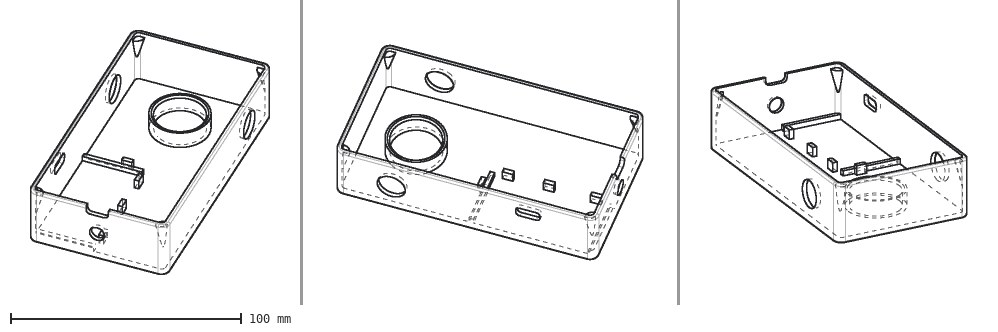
import cadquery as cq

WIDTH = 65.0
LENGTH = 120.0
HEIGHT = 28.0
WALL = 2.0
CORNER_RADIUS = 4.0
EDGE_RADIUS = 1.0
INNER_LEFT = -WIDTH / 2 + WALL
INNER_FRONT = -LENGTH / 2 + WALL
MID_HEIGHT = HEIGHT / 2
OVERLAP = 0.6

RING_Y = 34.0
RING_DIAMETER = 27.0
RING_BORE_DIAMETER = 23.0
RING_TOP = 10.1
RING_BEVEL = 1.0

SIDE_HOLE_DIAMETER = 12.8
FRONT_HOLE_DIAMETER = 7.0
SLOT_LENGTH = 11.0
SLOT_HEIGHT = 5.0
SLOT_RADIUS = 1.8
SLOT_Y = -28.8
SLOT_Z = 20.0
NOTCH_WIDTH = 10.3
NOTCH_DEPTH = 3.8
NOTCH_RADIUS = 2.0

LUG_RADIUS = 4.0
LUG_HEIGHT = 14.4
LUG_TOP = HEIGHT - WALL

RIB_THICKNESS = 2.0
RIB_END_X = -2.5
REAR_RIB_FRONT_Y = -3.0
FRONT_RIB_BACK_Y = -55.9
RIB_HEIGHT = 2.4
PEG_HEIGHT = 4.5
TAB_X = -10.5
PEG_LENGTH = 4.8
PEG_X = -1.5
PEG_CENTERS_Y = (-9.0, -27.8, -49.5)


def box_between(x0, x1, y0, y1, z0, z1):
    """Box given by its limits along each axis."""
    return cq.Workplane("XY").box(x1 - x0, y1 - y0, z1 - z0, centered=False).translate((x0, y0, z0))


def make_tray():
    outer = cq.Workplane("XY").box(WIDTH, LENGTH, HEIGHT, centered=(True, True, False))
    outer = outer.edges("|Z").fillet(CORNER_RADIUS)
    outer = outer.faces("<Z or >Z").edges().fillet(EDGE_RADIUS)
    cavity = (
        cq.Workplane("XY", origin=(0, 0, WALL))
        .rect(WIDTH - 2 * WALL, LENGTH - 2 * WALL)
        .extrude(HEIGHT)
        .edges("|Z")
        .fillet(CORNER_RADIUS - WALL)
    )
    return outer.cut(cavity)


def make_ring():
    """Ring with a straight bore and a bevel around the inside of its mouth."""
    profile = [
        (RING_BORE_DIAMETER / 2, WALL - OVERLAP),
        (RING_DIAMETER / 2, WALL - OVERLAP),
        (RING_DIAMETER / 2, RING_TOP),
        (RING_BORE_DIAMETER / 2 + RING_BEVEL, RING_TOP),
        (RING_BORE_DIAMETER / 2, RING_TOP - RING_BEVEL),
    ]
    ring = cq.Workplane("XZ").polyline(profile).close().revolve(360, (0, 0, 0), (0, 1, 0))
    return ring.translate((0, RING_Y, 0))


def make_corner_lugs():
    """Upside-down cones on the inner corners, trimmed to the tray outline."""
    cone = cq.Solid.makeCone(0, LUG_RADIUS, LUG_HEIGHT)
    lugs = cq.Workplane("XY")
    for x in (INNER_LEFT, -INNER_LEFT):
        for y in (INNER_FRONT, -INNER_FRONT):
            lugs = lugs.add(cone.translate(cq.Vector(x, y, LUG_TOP - LUG_HEIGHT)))
    trim = (
        cq.Workplane("XY")
        .box(WIDTH - WALL, LENGTH - WALL, HEIGHT, centered=(True, True, False))
        .edges("|Z")
        .fillet(CORNER_RADIUS - WALL / 2)
    )
    return lugs.combine().intersect(trim)


def make_board_supports():
    bottom = WALL - OVERLAP
    rib_top = WALL + RIB_HEIGHT
    peg_top = WALL + PEG_HEIGHT
    rib_start = INNER_LEFT - OVERLAP
    rear_rib_back = REAR_RIB_FRONT_Y + RIB_THICKNESS
    supports = box_between(rib_start, RIB_END_X, REAR_RIB_FRONT_Y, rear_rib_back, bottom, rib_top)
    supports = supports.union(
        box_between(rib_start, RIB_END_X, INNER_FRONT - OVERLAP, FRONT_RIB_BACK_Y, bottom, rib_top)
    )
    tab_back = rear_rib_back + RIB_THICKNESS
    supports = supports.union(
        box_between(
            TAB_X - PEG_LENGTH / 2, TAB_X + PEG_LENGTH / 2, rear_rib_back, tab_back, bottom, peg_top
        )
    )
    for y in PEG_CENTERS_Y:
        supports = supports.union(
            box_between(
                PEG_X - RIB_THICKNESS / 2, PEG_X + RIB_THICKNESS / 2,
                y - PEG_LENGTH / 2, y + PEG_LENGTH / 2, bottom, peg_top,
            )
        )
    return supports


def cut_side_openings(body):
    holes = (
        cq.Workplane("YZ", origin=(0, RING_Y, MID_HEIGHT))
        .circle(SIDE_HOLE_DIAMETER / 2)
        .extrude(WIDTH, both=True)
    )
    inside = box_between(INNER_LEFT, -INNER_LEFT, INNER_FRONT, -INNER_FRONT, 0, HEIGHT)
    slot = (
        cq.Workplane("XY")
        .box(2 * WALL, SLOT_LENGTH, SLOT_HEIGHT)
        .edges("|X")
        .fillet(SLOT_RADIUS)
        .translate((-WIDTH / 2, SLOT_Y, SLOT_Z))
    )
    return body.cut(holes.cut(inside)).cut(slot)


def cut_front_openings(body):
    hole = (
        cq.Workplane("XZ", origin=(0, INNER_FRONT, MID_HEIGHT))
        .circle(FRONT_HOLE_DIAMETER / 2)
        .extrude(2 * WALL)
    )
    notch = (
        cq.Workplane("XY")
        .box(NOTCH_WIDTH, 2 * WALL, 2 * NOTCH_DEPTH)
        .edges("|Y")
        .fillet(NOTCH_RADIUS)
        .translate((0, -LENGTH / 2, HEIGHT))
    )
    return body.cut(hole).cut(notch)


tray = make_tray().union(make_ring()).union(make_corner_lugs()).union(make_board_supports())
result = cut_front_openings(cut_side_openings(tray))